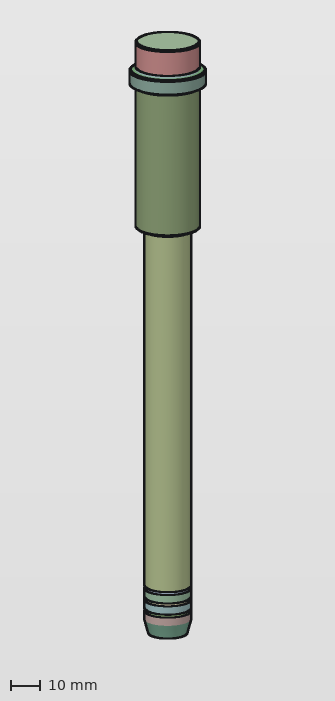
import cadquery as cq
import math

total_length = 210.0
head_length = 10.0
collar_height = 5.0
body_length = 51.0
tip_length = 5.0

body_radius = 11.0
collar_radius = 13.0
shank_radius = 8.0

tip_half_angle = 15.0
tip_fillet = 0.5

edge_chamfer = 0.5

groove_radius = 0.5
relief_width = 1.0
relief_depth = 0.5

ring_groove_count = 3
ring_groove_pitch = 4.0

collar_top_z = -head_length
collar_bottom_z = collar_top_z - collar_height
body_end_z = collar_bottom_z - body_length
tip_end_z = -total_length
tip_top_z = tip_end_z + tip_length
tip_end_radius = shank_radius - tip_length * math.tan(math.radians(tip_half_angle))


def revolve_profile(profile):
    """Close a half profile drawn in the XZ plane and spin it about the Z axis."""
    return profile.close().revolve(360, (0, 0, 0), (0, 1, 0))


def cylinder(radius, bottom_z, top_z):
    """Solid cylinder on the Z axis between two heights."""
    return cq.Workplane("XY").workplane(offset=bottom_z).circle(radius).extrude(top_z - bottom_z)


def make_head():
    head = cylinder(body_radius, collar_top_z, 0)
    return head.faces(">Z").edges().chamfer(edge_chamfer)


def make_collar():
    collar = cylinder(collar_radius, collar_bottom_z, collar_top_z)
    return collar.faces(">Z").edges().chamfer(edge_chamfer)


def make_body():
    body = cylinder(body_radius, body_end_z, collar_bottom_z)
    return body.faces("<Z").edges().chamfer(edge_chamfer)


def make_shank():
    """Shank with a conical tip, rounded at its end."""
    profile = (
        cq.Workplane("XZ")
        .moveTo(0, tip_end_z)
        .lineTo(tip_end_radius, tip_end_z)
        .lineTo(shank_radius, tip_top_z)
        .lineTo(shank_radius, body_end_z)
        .lineTo(0, body_end_z)
    )
    return revolve_profile(profile).faces("<Z").edges().fillet(tip_fillet)


def make_groove(surface_radius, top_z):
    """Half-round ring to cut from a cylinder, built from two quarter arcs."""
    center_z = top_z - groove_radius
    arc_offset = groove_radius * math.sqrt(0.5)
    inner_radius = surface_radius - groove_radius
    bottom_z = top_z - 2 * groove_radius
    profile = (
        cq.Workplane("XZ")
        .moveTo(surface_radius, top_z)
        .threePointArc((surface_radius - arc_offset, center_z + arc_offset), (inner_radius, center_z))
        .threePointArc((surface_radius - arc_offset, center_z - arc_offset), (surface_radius, bottom_z))
    )
    return revolve_profile(profile)


def make_relief():
    """Square-sectioned ring around the shank, just below the body."""
    bottom_z = body_end_z - relief_width
    outer = cylinder(shank_radius, bottom_z, body_end_z)
    return outer.cut(cylinder(shank_radius - relief_depth, bottom_z, body_end_z))


result = make_shank().cut(make_relief())
result = result.union(make_body()).union(make_collar()).union(make_head())

result = result.cut(make_groove(body_radius, collar_top_z + 2 * groove_radius))
result = result.cut(make_groove(body_radius, collar_bottom_z))

for index in range(ring_groove_count):
    groove_top_z = tip_top_z + (index + 1) * ring_groove_pitch
    result = result.cut(make_groove(shank_radius, groove_top_z))